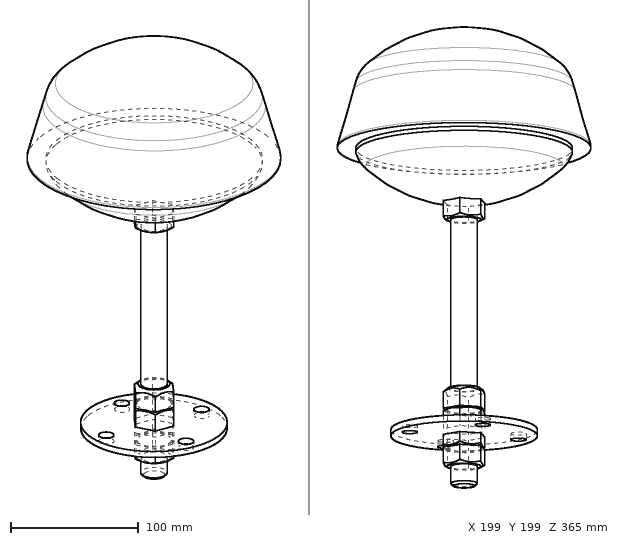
import cadquery as cq
import math

ROD_DIAMETER = 21.0
ROD_END_CHAMFER = 2.0

PLATE_DIAMETER = 115.0
PLATE_BOTTOM = 40.0
PLATE_THICKNESS = 5.0
PLATE_TOP = PLATE_BOTTOM + PLATE_THICKNESS
BOLT_CIRCLE_RADIUS = 45.0
BOLT_HOLE_DIAMETER = 12.0
BOLT_HOLE_COUNT = 4

NUT_FLATS = 30.0
NUT_CORNERS = NUT_FLATS / math.cos(math.pi / 6)
NUT_FACE_RADIUS = 13.5
NUT_CHAMFER_ANGLE = 30.0
TOP_NUT_FACE_RADIUS = 12.5
TOP_NUT_CHAMFER_ANGLE = 40.0
BOTTOM_NUT_BOTTOM = 15.5
LOWER_NUT_BOTTOM = 30.0
TOP_NUT_BOTTOM = 61.0
TOP_NUT_TOP = 78.0
DOME_NUT_BOTTOM = 213.0
NUT_ENVELOPE_MARGIN = 1.0

DOME_TOP = 365.0
DOME_BOTTOM = 226.0
CAP_RADIUS = 77.5
CAP_HEIGHT = 30.0
SHOULDER_RADIUS = 85.0
SHOULDER_HEIGHT = 12.0
SHOULDER_ARC_RADIUS = 25.0
COLLAR_RADIUS = 87.3
COLLAR_DROP = 7.7
BRIM_RADIUS = 99.5
BRIM_TOP = 272.2
BRIM_THICKNESS = 2.0
BELLY_ARC_HEIGHT = 11.0


def arc_middle(start, end, sag):
    """Point halfway along an arc that bulges by sag to the left of start -> end."""
    run = end[0] - start[0]
    rise = end[1] - start[1]
    chord = math.hypot(run, rise)
    middle_r = (start[0] + end[0]) / 2 - sag * rise / chord
    middle_z = (start[1] + end[1]) / 2 + sag * run / chord
    return middle_r, middle_z


def sag_of_arc(start, end, radius):
    """Height of an arc of the given radius above its chord."""
    half_chord = math.dist(start, end) / 2
    return radius - math.sqrt(radius**2 - half_chord**2)


def make_dome():
    """Domed cap, rounded shoulder, conical skirt, brim and bowl-shaped belly."""
    cap_sphere_radius = (CAP_RADIUS**2 + CAP_HEIGHT**2) / (2 * CAP_HEIGHT)
    crown = (0, DOME_TOP)
    cap_edge = (CAP_RADIUS, DOME_TOP - CAP_HEIGHT)
    shoulder = (SHOULDER_RADIUS, cap_edge[1] - SHOULDER_HEIGHT)
    brim_top = (BRIM_RADIUS, BRIM_TOP)
    collar = (COLLAR_RADIUS, shoulder[1] - COLLAR_DROP)
    brim_bottom = (BRIM_RADIUS, BRIM_TOP - BRIM_THICKNESS)
    belly_edge = (CAP_RADIUS, DOME_BOTTOM + CAP_HEIGHT)
    belly_top = (SHOULDER_RADIUS, belly_edge[1] + BELLY_ARC_HEIGHT)
    belly_root = (SHOULDER_RADIUS, brim_bottom[1])
    base = (0, DOME_BOTTOM)

    cap_sag = sag_of_arc(crown, cap_edge, cap_sphere_radius)
    shoulder_sag = sag_of_arc(cap_edge, shoulder, SHOULDER_ARC_RADIUS)
    belly_sag = sag_of_arc(belly_top, belly_edge, SHOULDER_ARC_RADIUS)

    profile = (
        cq.Workplane("XZ")
        .moveTo(*crown)
        .threePointArc(arc_middle(crown, cap_edge, cap_sag), cap_edge)
        .threePointArc(arc_middle(cap_edge, shoulder, shoulder_sag), shoulder)
        .lineTo(*collar)
        .lineTo(*brim_top)
        .lineTo(*brim_bottom)
        .lineTo(*belly_root)
        .lineTo(*belly_top)
        .threePointArc(arc_middle(belly_top, belly_edge, belly_sag), belly_edge)
        .threePointArc(arc_middle(belly_edge, base, cap_sag), base)
        .close()
    )
    return profile.revolve(360, (0, 0, 0), (0, 1, 0))


def make_rod():
    """Round rod from its free end up into the dome, chamfered at the bottom."""
    rod_length = DOME_BOTTOM + CAP_HEIGHT
    rod = cq.Workplane("XY").circle(ROD_DIAMETER / 2).extrude(rod_length)
    return rod.faces("<Z").chamfer(ROD_END_CHAMFER)


def make_plate():
    """Round plate with bolt holes on the X and Y axes."""
    return (
        cq.Workplane("XY", origin=(0, 0, PLATE_BOTTOM))
        .circle(PLATE_DIAMETER / 2)
        .extrude(PLATE_THICKNESS)
        .faces(">Z")
        .workplane()
        .polarArray(BOLT_CIRCLE_RADIUS, 0, 360, BOLT_HOLE_COUNT)
        .hole(BOLT_HOLE_DIAMETER)
    )


def make_nut(plain_end, chamfered_end, face_radius=NUT_FACE_RADIUS, angle=NUT_CHAMFER_ANGLE):
    """Hex prism between two heights, its chamfered end trimmed by a cone."""
    bottom = min(plain_end, chamfered_end)
    length = abs(chamfered_end - plain_end)
    prism = (
        cq.Workplane("XY", origin=(0, 0, bottom))
        .transformed(rotate=(0, 0, 90))
        .polygon(6, NUT_CORNERS)
        .extrude(length)
    )
    direction = math.copysign(1, chamfered_end - plain_end)
    outer_radius = NUT_CORNERS / 2 + NUT_ENVELOPE_MARGIN
    cone_drop = (outer_radius - face_radius) * math.tan(math.radians(angle))
    envelope = (
        cq.Workplane("XZ")
        .moveTo(0, plain_end)
        .lineTo(outer_radius, plain_end)
        .lineTo(outer_radius, chamfered_end - direction * cone_drop)
        .lineTo(face_radius, chamfered_end)
        .lineTo(0, chamfered_end)
        .close()
        .revolve(360, (0, 0, 0), (0, 1, 0))
    )
    return prism.intersect(envelope)


result = (
    make_rod()
    .union(make_plate())
    .union(make_nut(LOWER_NUT_BOTTOM, BOTTOM_NUT_BOTTOM))
    .union(make_nut(PLATE_BOTTOM, LOWER_NUT_BOTTOM))
    .union(make_nut(PLATE_TOP, TOP_NUT_BOTTOM))
    .union(make_nut(TOP_NUT_BOTTOM, TOP_NUT_TOP, TOP_NUT_FACE_RADIUS, TOP_NUT_CHAMFER_ANGLE))
    .union(make_nut(DOME_BOTTOM + CAP_HEIGHT, DOME_NUT_BOTTOM))
    .union(make_dome())
)